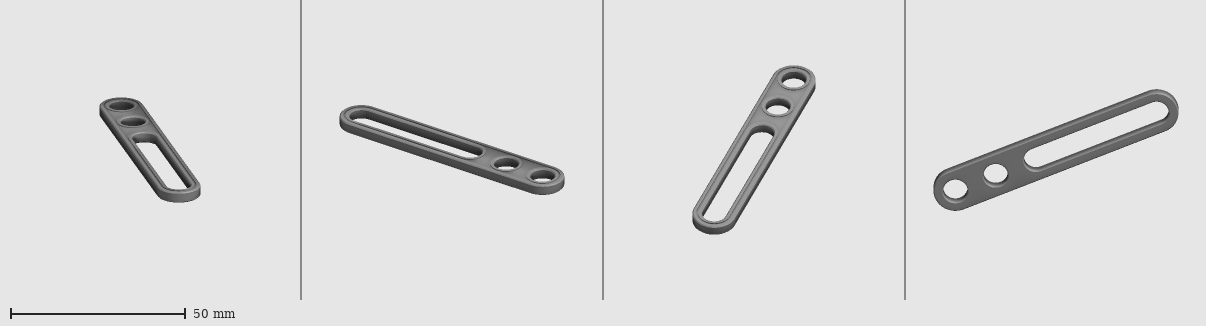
import cadquery as cq

length = 75.0
width = 12.5
thickness = 3.15
edge_chamfer = 0.3

end_center = (length - width) / 2
hole_pitch = width
bore_diameter = 7.0
bore_chamfer = 0.3
hole_centers = (-end_center, -end_center + hole_pitch)
slot_start = -end_center + 2 * hole_pitch
slot_end = end_center

rim_width = 1.1
collar_diameter = 9.2
recess_depth = 0.3


def stadium(start, end, diameter, bottom, height):
    """Upright round-ended block whose end arcs are centred at x = start and x = end."""
    middle = (start + end) / 2
    overall = end - start + diameter
    return cq.Workplane("XY", origin=(middle, 0, bottom)).slot2D(overall, diameter).extrude(height)


def openings(diameter, bottom, height):
    """Two round cylinders and the long slot, all of one diameter, as a single solid tool."""
    tool = stadium(slot_start, slot_end, diameter, bottom, height)
    for x in hole_centers:
        cylinder = cq.Workplane("XY", origin=(x, 0, bottom)).circle(diameter / 2).extrude(height)
        tool = tool.union(cylinder)
    return tool


def chamfered_bar():
    """Round-ended bar with its openings, chamfered around the outline and every opening mouth."""
    bar = stadium(-end_center, end_center, width, 0, thickness)
    bar = bar.faces("<Z or >Z").edges().chamfer(edge_chamfer)
    bar = bar.cut(openings(bore_diameter, 0, thickness))

    mouths = [wire for face in bar.faces("<Z or >Z").vals() for wire in face.innerWires()]
    mouth_edges = [edge for wire in mouths for edge in wire.Edges()]
    return bar.newObject(mouth_edges).chamfer(bore_chamfer)


def top_recess():
    """Recess volume that leaves the rim and the collars at full height."""
    floor = thickness - recess_depth
    field = stadium(-end_center, end_center, width - 2 * rim_width, floor, recess_depth)
    return field.cut(openings(collar_diameter, floor, recess_depth))


result = chamfered_bar().cut(top_recess())